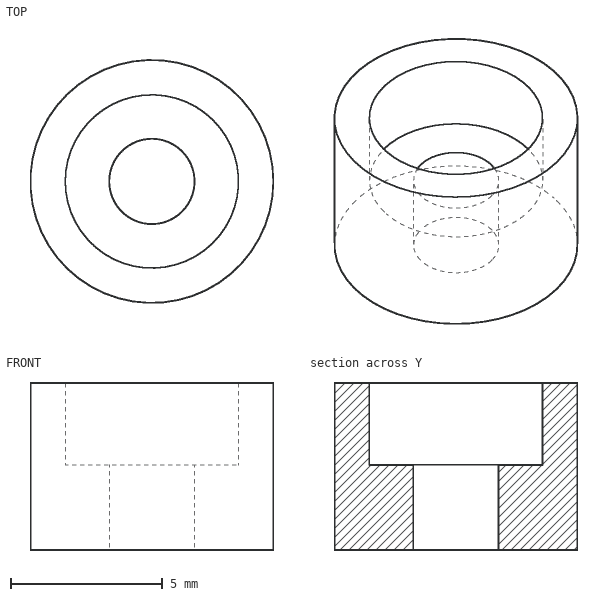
import cadquery as cq

outer_diameter = 8.0
height = 5.5
counterbore_diameter = 5.7
counterbore_depth = 2.7
bore_diameter = 2.8


def make_body():
    """Plain cylinder standing on the XY plane, centred on Z."""
    return cq.Workplane("XY").circle(outer_diameter / 2).extrude(height)


def cut_stepped_bore(body):
    """Through bore with a flat-bottomed counterbore opening at the top face."""
    return (
        body.faces(">Z")
        .workplane()
        .cboreHole(bore_diameter, counterbore_diameter, counterbore_depth)
    )


result = cut_stepped_bore(make_body())